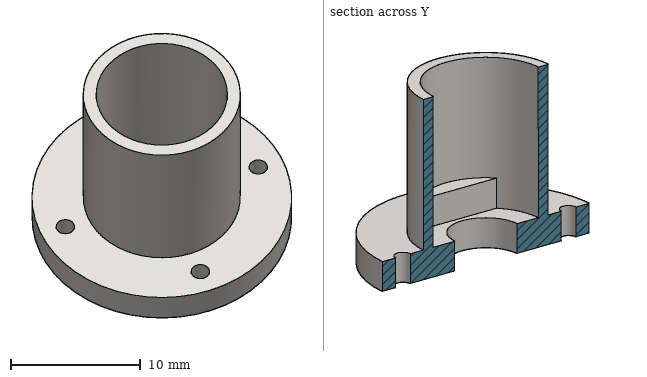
import cadquery as cq

flange_diameter = 20.0
flange_thickness = 2.5
bolt_hole_diameter = 1.4
bolt_circle_diameter = 16.0
bolt_count = 4

total_height = 15.0
tube_diameter = 12.1
bore_diameter = 10.1
bore_floor_height = flange_thickness
shaft_hole_diameter = 6.0

flat_offset = 3.45
ledge_height = 2.5


def cylinder(diameter, bottom, top):
    """Upright cylinder on the part axis."""
    return cq.Workplane("XY").workplane(offset=bottom).circle(diameter / 2).extrude(top - bottom)


def bore_ledge():
    """Segment of the bore beyond the flat, rising from the bore floor."""
    ledge_top = bore_floor_height + ledge_height
    segment_depth = tube_diameter / 2 - flat_offset
    beyond_flat = (
        cq.Workplane("XY")
        .workplane(offset=bore_floor_height)
        .center(0, -flat_offset - segment_depth / 2)
        .rect(tube_diameter, segment_depth)
        .extrude(ledge_height)
    )
    return cylinder(bore_diameter, bore_floor_height, ledge_top).intersect(beyond_flat)


def bolt_holes():
    """Through holes evenly spaced around the flange."""
    return (
        cq.Workplane("XY")
        .polarArray(bolt_circle_diameter / 2, 0, 360, bolt_count)
        .circle(bolt_hole_diameter / 2)
        .extrude(flange_thickness)
    )


flange = cylinder(flange_diameter, 0, flange_thickness)
tube = cylinder(tube_diameter, 0, total_height)
bore = cylinder(bore_diameter, bore_floor_height, total_height).cut(bore_ledge())
shaft_hole = cylinder(shaft_hole_diameter, 0, total_height)

result = flange.union(tube).cut(bore).cut(shaft_hole).cut(bolt_holes())